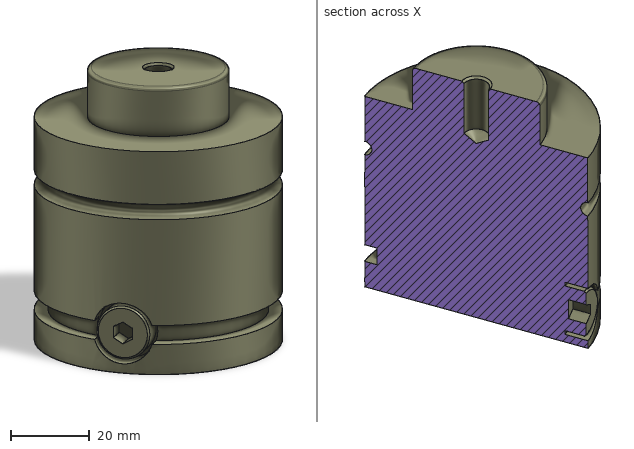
import cadquery as cq
import math

body_diameter = 63.0
body_height = 59.0
overall_height = 72.0
body_radius = body_diameter / 2

rod_diameter = 36.0
rod_edge_round = 1.0

hole_diameter = 6.8
hole_mouth_diameter = 8.0
hole_depth = 16.0
hole_tip_angle = 118.0
hole_mouth_depth = (hole_mouth_diameter - hole_diameter) / 2

round_groove_radius = 2.0
round_groove_z = 43.0

square_groove_width = 5.0
square_groove_floor_diameter = 56.0
plug_z = 10.5

pocket_diameter = 16.0
pocket_floor_y = -25.0
plug_diameter = 14.0
plug_face_y = -31.0
plug_chamfer = 0.5
hex_across_flats = 5.0
hex_depth = 5.0
hex_half_side_angle = 180.0 / 6


def make_body():
    """Body and rod end, with the top rim of the rod rounded."""
    body = cq.Workplane("XY").circle(body_radius).extrude(body_height)
    rod = (
        cq.Workplane("XY")
        .circle(rod_diameter / 2)
        .extrude(overall_height)
        .faces(">Z")
        .edges()
        .fillet(rod_edge_round)
    )
    return body.union(rod)


def make_rod_hole():
    """Blind drilled hole with a 45 degree mouth and a conical tip."""
    radius = hole_diameter / 2
    tip_length = radius / math.tan(math.radians(hole_tip_angle / 2))
    floor_z = overall_height - hole_depth
    return (
        cq.Workplane("XZ")
        .moveTo(0, overall_height)
        .lineTo(hole_mouth_diameter / 2, overall_height)
        .lineTo(radius, overall_height - hole_mouth_depth)
        .lineTo(radius, floor_z)
        .lineTo(0, floor_z - tip_length)
        .close()
        .revolve(360, (0, 0, 0), (0, 1, 0))
    )


def make_round_groove():
    """Ring centred on the outer surface, so its inner half cuts the groove."""
    return cq.Workplane("XY").add(
        cq.Solid.makeTorus(body_radius, round_groove_radius, cq.Vector(0, 0, round_groove_z))
    )


def make_square_groove():
    """Flat ring that cuts the square groove."""
    return (
        cq.Workplane("XY", origin=(0, 0, plug_z - square_groove_width / 2))
        .circle(body_diameter)
        .circle(square_groove_floor_diameter / 2)
        .extrude(square_groove_width)
    )


def plug_plane(y):
    """Plane at the given Y on the plug axis, facing outwards along -Y."""
    return cq.Workplane("XZ", origin=(0, y, plug_z))


def make_plug_pocket():
    """Flat-bottomed round pocket from the -Y side."""
    return plug_plane(pocket_floor_y).circle(pocket_diameter / 2).extrude(body_radius)


def make_plug():
    """Chamfered plug standing in the pocket, with a hexagon socket in its face."""
    head = (
        plug_plane(pocket_floor_y)
        .circle(plug_diameter / 2)
        .extrude(pocket_floor_y - plug_face_y)
        .faces("<Y")
        .edges()
        .chamfer(plug_chamfer)
    )
    hex_across_corners = hex_across_flats / math.cos(math.radians(hex_half_side_angle))
    socket = (
        plug_plane(plug_face_y)
        .transformed(rotate=(0, 0, hex_half_side_angle))
        .polygon(6, hex_across_corners)
        .extrude(-hex_depth)
    )
    return head.cut(socket)


result = (
    make_body()
    .cut(make_rod_hole())
    .cut(make_round_groove())
    .cut(make_square_groove())
    .cut(make_plug_pocket())
    .union(make_plug())
)